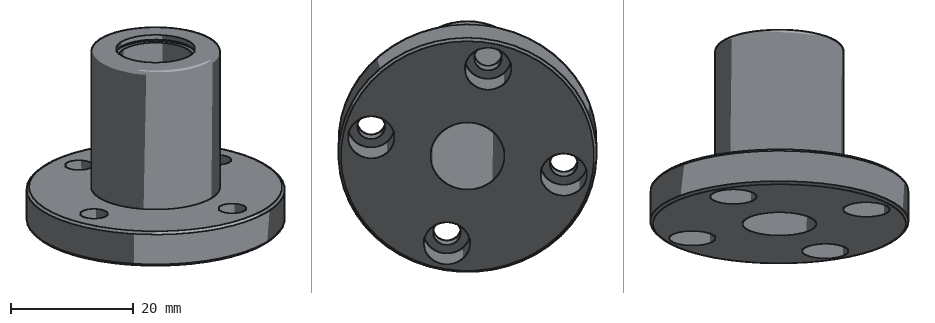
import cadquery as cq

flange_diameter = 42.0
flange_thickness = 6.0
flange_chamfer = 0.4

total_height = 30.0
barrel_diameter = 21.0
barrel_rounding = 0.65

bore_diameter = 12.0
mouth_diameter = 12.8
mouth_depth = 0.8
groove_diameter = 13.6
groove_width = 0.4

bolt_count = 4
bolt_circle_diameter = 32.0
bolt_hole_diameter = 4.5
counterbore_diameter = 7.5
counterbore_depth = 4.2


def cylinder(diameter, bottom, top):
    """Solid cylinder on the Z axis between two heights."""
    return cq.Workplane("XY").workplane(offset=bottom).circle(diameter / 2).extrude(top - bottom)


def make_body():
    flange = cylinder(flange_diameter, 0, flange_thickness).edges().chamfer(flange_chamfer)
    barrel = cylinder(barrel_diameter, 0, total_height).edges(">Z").fillet(barrel_rounding)
    return flange.union(barrel)


def make_bore():
    bore = cylinder(bore_diameter, 0, total_height)
    groove_top = total_height - mouth_depth
    mouth = cylinder(mouth_diameter, groove_top, total_height)
    groove = cylinder(groove_diameter, groove_top - groove_width, groove_top)
    return bore.union(mouth).union(groove)


def cut_bolt_holes(body):
    return (
        body.faces("<Z").workplane(origin=(0, 0, 0))
        .polarArray(bolt_circle_diameter / 2, 0, 360, bolt_count)
        .cboreHole(bolt_hole_diameter, counterbore_diameter, counterbore_depth)
    )


result = cut_bolt_holes(make_body()).cut(make_bore())